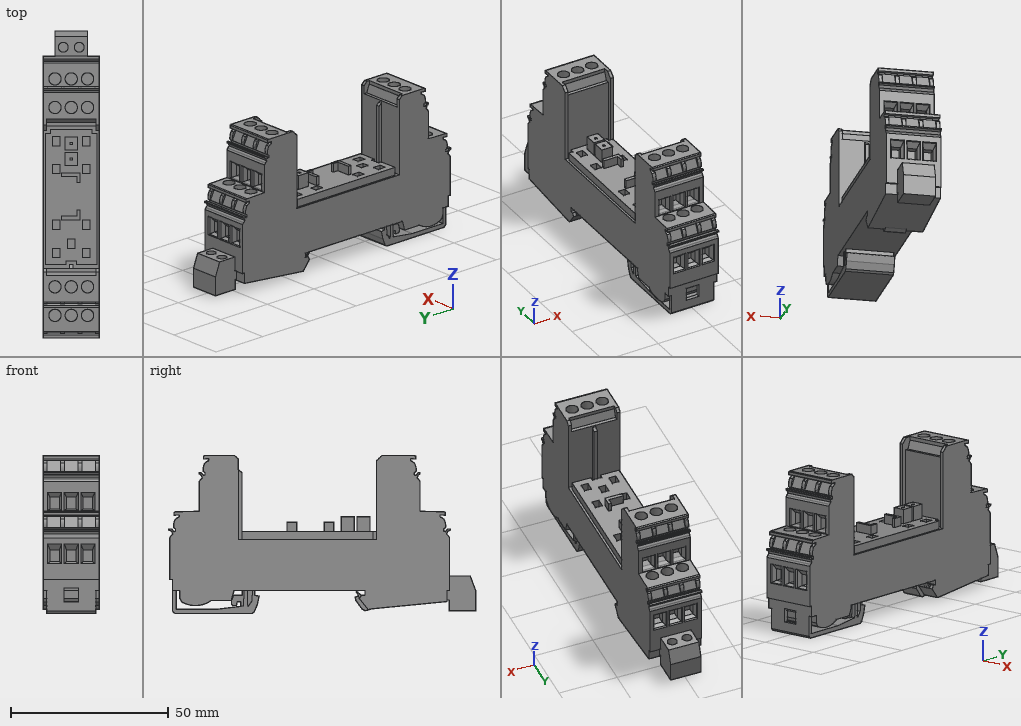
import cadquery as cq

width = 17.8
core_width = 15.6
height = 50.2
mid_y = -4.0
rail_z = 7.3
floor_z = 23.5

upper_wall = 35.1
lower_wall = 44.5
block_inner = 25.4
tier_drop = 17.8
lower_top = height - tier_drop
ledge_rise = 0.4
nose_setback = 1.4
nose_bevel_run = 0.5
nose_bevel_drop = 0.2
upper_catch = 0.0
lower_catch = 0.3
window_pitch = 5.6
window_width = 4.3
screw_pitch = 5.2
screw_diameter = 3.9
screw_depth = 5.85
upper_screw = 28.5
lower_screw = 37.5
entry_pitch = 5.3
entry_width = 4.5
entry_inner_width = 3.0
entry_mouth_depth = 0.8
entry_taper_depth = 1.4
entry_throat_depth = 2.4
upper_mouth_top = 38.5
upper_throat_z = (33.2, 37.0)
lower_mouth_z = (15.9, 22.1)
lower_throat_z = (16.5, 20.3)

back_face = 17.2
back_chamfer = 1.8
back_wall = 18.5
front_face = -26.6
front_chamfer = 1.2
ledge_drop = 3.9
ledge_run = 1.2
slope_run = 1.1
riser_height = 1.2
key_width = 1.2
key_end = -25.5
key_top = 45.7
key_bevel = 1.0

plate_top = 26.1
plate_width = 16.3
plate_back = 16.2
plate_tongue_width = 13.3
plate_tongue_end = 17.5
key_notch_width = 3.2
key_notch_depth = 1.2
contact_width = 2.3
contact_length = 2.9
contact_x = 4.8
contact_rows = [13.75, 5.0, -12.8, -21.7]
coil_contact_y = -18.8
guide_top = 29.1
guide_left = -3.1
guide_right = 2.8
guide_leg = 1.0
guide_reach = 3.1
back_guide_y = 3.7
front_guide_y = -11.2
guide_bar = 1.2

post_width = 3.9
post_length = 4.2
post_top = 30.8
post_centers = [13.1, 8.1]
post_hole = 0.7
post_hole_depth = 2.9

plug_width = 10.4
plug_end = 48.8
plug_top_end = 47.0
plug_back = 40.3
lug_bottom = 4.3
plug_bottom = 0.9
plug_top = 12.0
plug_hole_diameter = 3.1
plug_hole_pitch = 5.1
plug_hole_y = 43.6
plug_hole_depth = 5.85

foot_back = 39.7
hook_width = 6.8
step_z = 10.8
clip_face = -47.6
clip_wall = 1.3
clip_corner = 0.8
groove_depth = 2.5
clip_floor = 1.5
link_width = 13.1
window_bottom = 3.8
window_top = 8.2
clip_window_width = 4.6

row = [-1, 0, 1]


def across(points, span):
    """Extrude a closed Y-Z outline across X, centred on the middle plane."""
    return cq.Workplane("YZ").polyline(points).close().extrude(span / 2, both=True)


def box(x_range, y_range, z_range):
    sizes = [high - low for low, high in (x_range, y_range, z_range)]
    return cq.Workplane().box(*sizes, centered=False).translate((x_range[0], y_range[0], z_range[0]))


def terminal_tier(wall, top, bottom, inner_top, catch_reach):
    """One terminal row: plain wall, small catch lip, bulged marker carrier and overhanging nose."""
    path = cq.Workplane("YZ").moveTo(block_inner, bottom).lineTo(wall, bottom).lineTo(wall, top - 8.3)
    path = path.lineTo(wall - 0.4, top - 7.7).lineTo(wall - 1.0, top - 7.1).lineTo(wall - 0.6, top - 6.2)
    catch = wall + catch_reach
    path = path.lineTo(catch, top - 5.85).lineTo(catch, top - 5.5).lineTo(wall - 0.7, top - 5.5)
    path = path.lineTo(wall - 1.4, top - 6.3).lineTo(wall - 1.9, top - 6.1).lineTo(wall - 1.9, top - 5.5)
    path = path.lineTo(wall - 1.3, top - 5.1)
    path = path.threePointArc((wall - 1.4, top - 3.5), (wall - 1.9, top - 2.3))
    path = path.lineTo(wall - 3.0, top - 1.6).lineTo(wall - 3.0, top - 1.1)
    tip = wall - nose_setback
    path = path.lineTo(tip, top - 1.2).lineTo(tip, top - nose_bevel_drop).lineTo(tip - nose_bevel_run, top)
    return path.lineTo(block_inner, inner_top).close().extrude(width / 2, both=True)


def marker_windows(wall, top):
    """Flat sloping pockets between the marker ribs."""
    outline = [
        (wall, top - 5.1),
        (wall - 1.3, top - 5.1),
        (wall - 3.0, top - 1.6),
        (wall, top - 1.6),
    ]
    window = across(outline, window_width)
    cutter = cq.Workplane()
    for place in row:
        cutter = cutter.add(window.translate((place * window_pitch, 0, 0)))
    return cutter.combine()


def screw_holes(distance, top):
    """Three blind holes, cut from the crest of the sloping ledge so that they open fully."""
    crest = top + ledge_rise
    return (
        cq.Workplane("XY", origin=(0, 0, crest))
        .pushPoints([(place * screw_pitch, distance) for place in row])
        .circle(screw_diameter / 2)
        .extrude(top - screw_depth - crest)
    )


def wire_entries(wall, outer_z, inner_z):
    """Three wire openings, each narrowing from a wide mouth to a smaller throat."""
    half = entry_width / 2
    half_inner = entry_inner_width / 2
    mouth_end = wall - entry_mouth_depth
    throat_start = mouth_end - entry_taper_depth
    outer_middle = sum(outer_z) / 2
    inner_middle = sum(inner_z) / 2
    mouth = box((-half, half), (mouth_end, wall), outer_z)
    taper = (
        cq.Workplane("XZ", origin=(0, mouth_end, outer_middle))
        .rect(entry_width, outer_z[1] - outer_z[0])
        .workplane(offset=entry_taper_depth)
        .center(0, inner_middle - outer_middle)
        .rect(entry_inner_width, inner_z[1] - inner_z[0])
        .loft(ruled=True)
    )
    throat = box((-half_inner, half_inner), (throat_start - entry_throat_depth, throat_start), inner_z)
    funnel = mouth.union(taper).union(throat)
    cutter = cq.Workplane()
    for place in row:
        cutter = cutter.add(funnel.translate((place * entry_pitch, 0, 0)))
    return cutter.combine()


def terminal_block():
    """Two-tier terminal block facing +Y, with mid_y taken as zero."""
    ledge_top = lower_top + ledge_rise
    block = terminal_tier(lower_wall, lower_top, step_z, ledge_top, lower_catch)
    block = block.union(terminal_tier(upper_wall, height, lower_top, height, upper_catch))
    for wall, top in ((lower_wall, lower_top), (upper_wall, height)):
        block = block.cut(marker_windows(wall, top))
    block = block.cut(screw_holes(lower_screw, lower_top)).cut(screw_holes(upper_screw, height))
    block = block.cut(wire_entries(lower_wall, lower_mouth_z, lower_throat_z))
    return block.cut(wire_entries(upper_wall, (ledge_top, upper_mouth_top), upper_throat_z))


def tower(face, chamfer, side):
    """Full-width slab between a bay-side face and its terminal block, on the given side in Y."""
    end = mid_y + side * block_inner
    return across(
        [
            (end, step_z),
            (face, step_z),
            (face, height - chamfer),
            (face + side * chamfer, height),
            (end, height),
        ],
        width,
    )


def wall_recess(face, wall, side):
    """Space between the cheeks in front of a wall, its top ledge, slope and riser."""
    ledge_end = wall + side * ledge_run
    riser = ledge_end + side * slope_run
    return across(
        [
            (face - side, floor_z),
            (wall, floor_z),
            (wall, height - ledge_drop),
            (ledge_end, height - ledge_drop),
            (riser, height - riser_height),
            (riser, height),
            (face - side, height),
        ],
        core_width,
    )


def back_tower():
    return tower(back_face, back_chamfer, 1).cut(wall_recess(back_face, back_wall, 1))


def front_tower():
    """Its wall is flush with the cheeks and carries a key that locates the relay plate."""
    key = across(
        [
            (front_face, floor_z),
            (key_end, floor_z),
            (key_end, key_top - key_bevel),
            (front_face, key_top),
        ],
        key_width,
    )
    return tower(front_face, front_chamfer, -1).cut(wall_recess(front_face, front_face, -1)).union(key)


def base():
    """Slab under the bay; its front end is set back below the terminal block to meet the clip."""
    bed = box(
        (-width / 2, width / 2),
        (mid_y - block_inner, mid_y + block_inner),
        (rail_z, floor_z),
    )
    skirt = box((-width / 2, width / 2), (clip_face, mid_y + lower_wall), (rail_z, step_z))
    return bed.union(skirt)


def fixed_foot():
    """Full-width foot that carries a narrower hook for the rail."""
    foot = across(
        [
            (foot_back, rail_z),
            (foot_back, 3.8),
            (14.5, 1.4),
            (11.8, 4.8),
            (12.5, 5.85),
            (13.6, 5.85),
            (13.6, rail_z),
        ],
        width,
    )
    hook = across(
        [
            (16.0, 1.6),
            (13.7, 0.9),
            (12.7, 1.4),
            (10.6, 4.2),
            (10.4, 5.3),
            (11.5, 5.7),
            (12.6, 5.7),
        ],
        hook_width,
    )
    lip = across([(11.7, 4.9), (12.6, 5.7), (11.0, 7.0), (10.7, 6.9), (11.5, 5.7)], core_width)
    return foot.union(hook).union(lip)


def belly():
    """Rounded full-width underside above the clip arm."""
    return (
        cq.Workplane("YZ")
        .moveTo(-28.0, rail_z)
        .lineTo(-28.9, 4.1)
        .lineTo(-35.3, 4.1)
        .threePointArc((-40.8, 2.5), (-44.7, 3.7))
        .lineTo(-45.25, 4.9)
        .lineTo(-45.25, rail_z)
        .close()
        .extrude(width / 2, both=True)
    )


def clip():
    """Springy rail clip: front wall, floor arm, latching nose and the link to the belly."""
    inner_face = clip_face + clip_wall
    arm = across(
        [
            (clip_face, rail_z),
            (clip_face, clip_corner),
            (clip_face + clip_corner, 0),
            (-22.2, 0),
            (-21.6, 0.6),
            (-20.6, 2.9),
            (-20.0, 5.6),
            (-21.4, 5.85),
            (-21.4, rail_z),
            (-24.8, rail_z),
            (-25.1, 2.4),
            (-33.2, clip_floor),
            (inner_face, clip_floor),
            (inner_face, rail_z),
        ],
        core_width,
    )
    groove = across([(-22.1, rail_z), (-22.3, 4.0), (-23.5, 2.3), (-23.8, 2.8), (-23.8, rail_z)], core_width)
    web_width = core_width - 2 * groove_depth
    web = across([(-22.1, rail_z), (-22.1, 2.3), (-23.8, 2.3), (-23.8, rail_z)], web_width)
    link = across(
        [
            (-24.8, rail_z),
            (-25.5, rail_z),
            (-25.5, 5.85),
            (-28.2, 5.85),
            (-28.9, 4.1),
            (-28.9, 3.0),
            (-28.4, 2.5),
            (-27.2, 2.5),
            (-27.0, 3.7),
            (-25.9, 3.7),
            (-25.9, 2.2),
            (-25.1, 2.2),
        ],
        link_width,
    )
    return arm.cut(groove.cut(web)).union(link)


def clip_window():
    half = clip_window_width / 2
    return box((-half, half), (clip_face, clip_face + clip_wall), (window_bottom, window_top))


def make_housing():
    block = terminal_block()
    body = base().union(block.translate((0, mid_y, 0)))
    body = body.union(block.mirror("XZ").translate((0, mid_y, 0)))
    body = body.union(back_tower()).union(front_tower())
    body = body.union(fixed_foot()).union(belly()).union(clip())
    return body.cut(clip_window())


def guide(bar_y, side):
    """L-shaped guide wall: a bar across X and a leg that runs from it towards the given side in Y."""
    bar_end = bar_y + side * guide_bar
    leg_end = bar_y + side * guide_reach
    outline = [
        (guide_left, bar_y),
        (guide_right, bar_y),
        (guide_right, leg_end),
        (guide_right - guide_leg, leg_end),
        (guide_right - guide_leg, bar_end),
        (guide_left, bar_end),
    ]
    return cq.Workplane("XY", origin=(0, 0, floor_z)).polyline(outline).close().extrude(guide_top - floor_z)


def make_plate():
    half = plate_width / 2
    half_tongue = plate_tongue_width / 2
    half_notch = key_notch_width / 2
    plate = box((-half, half), (key_end, plate_back), (floor_z, plate_top))
    plate = plate.union(box((-half_tongue, half_tongue), (0, plate_tongue_end), (floor_z, plate_top)))
    plate = plate.cut(
        box((-half_notch, half_notch), (key_end, key_end + key_notch_depth), (floor_z, plate_top))
    )
    contacts = [(side * contact_x, y) for side in (-1, 1) for y in contact_rows]
    contacts.append((0, coil_contact_y))
    slots = (
        cq.Workplane("XY", origin=(0, 0, floor_z))
        .pushPoints(contacts)
        .rect(contact_width, contact_length)
        .extrude(plate_top - floor_z)
    )
    return plate.cut(slots).union(guide(back_guide_y, -1)).union(guide(front_guide_y, 1))


def make_post(y):
    post = (
        cq.Workplane("XY", origin=(0, y, plate_top))
        .rect(post_width, post_length)
        .extrude(post_top - plate_top)
    )
    return post.faces(">Z").workplane().rect(post_hole, post_hole).cutBlind(-post_hole_depth)


def make_plug():
    seat = mid_y + lower_wall
    plug = across(
        [
            (seat, plug_top),
            (plug_top_end, plug_top),
            (plug_end, rail_z),
            (plug_end, plug_bottom),
            (plug_back, plug_bottom),
            (plug_back, lug_bottom),
            (foot_back, lug_bottom),
            (foot_back, rail_z),
            (seat, rail_z),
        ],
        plug_width,
    )
    holes = (
        cq.Workplane("XY", origin=(0, plug_hole_y, plug_top))
        .pushPoints([(side * plug_hole_pitch / 2, 0) for side in (-1, 1)])
        .circle(plug_hole_diameter / 2)
        .extrude(-plug_hole_depth)
    )
    return plug.cut(holes)


housing = make_housing()
plate = make_plate()
posts = [make_post(y) for y in post_centers]
plug = make_plug()

result = cq.Compound.makeCompound(
    [housing.val(), plate.val(), *[post.val() for post in posts], plug.val()]
)